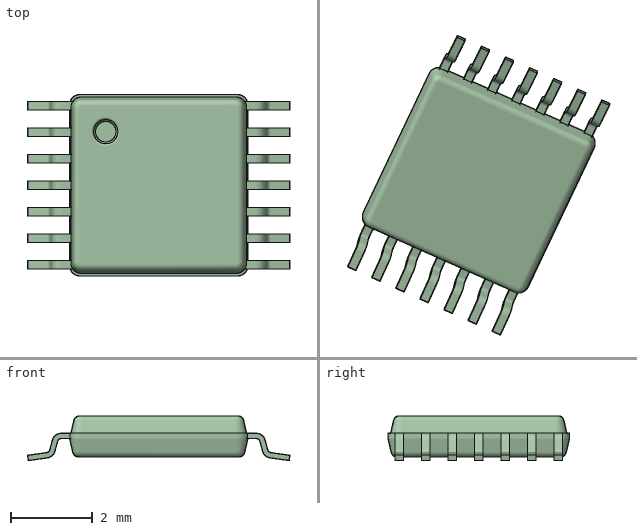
import cadquery as cq
import math

LEAD_COUNT = 7
LEAD_PITCH = 0.65
LEAD_WIDTH = 0.22
LEAD_THICKNESS = 0.135
LEAD_SPAN = 6.43
LEAD_TOP = 0.675
INNER_BEND = 0.095
OUTER_BEND = INNER_BEND + LEAD_THICKNESS
RISER_TILT = math.radians(15)
FOOT_TILT = math.radians(8)
FOOT_LENGTH = 0.47

BAND_X = 4.37
BAND_Y = 4.45
UPPER_X = 4.31
UPPER_Y = 4.32
BAND_TOP = LEAD_TOP
BAND_BOTTOM = LEAD_TOP - LEAD_THICKNESS
HOUSING_TOP = 1.1
HOUSING_BOTTOM = 0.09
CORNER_RADIUS = 0.26
DRAFT_ANGLE = 13.0
EDGE_FILLET = 0.15

DIMPLE_X = -1.3
DIMPLE_Y = 1.31
DIMPLE_FLOOR_RADIUS = 0.25
DIMPLE_WALL_RADIUS = 0.295
DIMPLE_RIM_RADIUS = 0.355
DIMPLE_DEPTH = 0.1


def rounded_block(size_x, size_y, base_z, height, taper=0.0):
    """Block with rounded corners; a negative height extrudes downward."""
    outline = cq.Sketch().rect(size_x, size_y).vertices().fillet(CORNER_RADIUS)
    return cq.Workplane("XY").workplane(offset=base_z).placeSketch(outline).extrude(height, taper=taper)


def drafted_halves():
    upper = rounded_block(UPPER_X, UPPER_Y, BAND_TOP, HOUSING_TOP - BAND_TOP, DRAFT_ANGLE)
    lower = rounded_block(BAND_X, BAND_Y, BAND_BOTTOM, HOUSING_BOTTOM - BAND_BOTTOM, DRAFT_ANGLE)
    return upper.faces(">Z").edges().fillet(EDGE_FILLET), lower.faces("<Z").edges().fillet(EDGE_FILLET)


def index_dimple():
    """Shallow cone with a rounded rim, cut into the top face."""
    rim_round = DIMPLE_RIM_RADIUS - DIMPLE_WALL_RADIUS
    diagonal = rim_round * math.sqrt(0.5)
    floor_z = HOUSING_TOP - DIMPLE_DEPTH
    return (
        cq.Workplane("XZ")
        .moveTo(0, floor_z)
        .lineTo(DIMPLE_FLOOR_RADIUS, floor_z)
        .lineTo(DIMPLE_WALL_RADIUS, HOUSING_TOP - rim_round)
        .threePointArc(
            (DIMPLE_RIM_RADIUS - diagonal, HOUSING_TOP - rim_round + diagonal),
            (DIMPLE_RIM_RADIUS, HOUSING_TOP),
        )
        .lineTo(0, HOUSING_TOP)
        .close()
        .revolve(360, (0, 0, 0), (0, 1, 0))
        .translate((DIMPLE_X, DIMPLE_Y, 0))
    )


def moved(point, angle, distance):
    """Point reached from `point` by going `distance` in the direction `angle` of the XZ plane."""
    return (point[0] + distance * math.cos(angle), point[1] + distance * math.sin(angle))


def lead_strip(y_position):
    straight_up = math.pi / 2
    riser_normal = RISER_TILT
    foot_normal = straight_up - FOOT_TILT
    foot_direction = -FOOT_TILT

    tip_top = (LEAD_SPAN / 2, LEAD_THICKNESS * math.cos(FOOT_TILT))
    tip_bottom = moved(tip_top, foot_normal, -LEAD_THICKNESS)
    foot_start = moved(tip_top, foot_direction, -FOOT_LENGTH)
    lower_center = moved(foot_start, foot_normal, INNER_BEND)

    shoulder_center_z = LEAD_TOP - OUTER_BEND
    riser_foot = moved(lower_center, riser_normal, -INNER_BEND)
    riser_drop = shoulder_center_z + OUTER_BEND * math.sin(RISER_TILT) - riser_foot[1]
    riser_top = (riser_foot[0] - riser_drop * math.tan(RISER_TILT), riser_foot[1] + riser_drop)
    upper_center = moved(riser_top, riser_normal, -OUTER_BEND)

    upper_middle = (straight_up + riser_normal) / 2
    lower_middle = (foot_normal + riser_normal) / 2
    half = (
        cq.Workplane("XZ")
        .moveTo(0, LEAD_TOP)
        .lineTo(*moved(upper_center, straight_up, OUTER_BEND))
        .threePointArc(moved(upper_center, upper_middle, OUTER_BEND), riser_top)
        .lineTo(*riser_foot)
        .threePointArc(moved(lower_center, lower_middle, -INNER_BEND), foot_start)
        .lineTo(*tip_top)
        .lineTo(*tip_bottom)
        .lineTo(*moved(lower_center, foot_normal, -OUTER_BEND))
        .threePointArc(
            moved(lower_center, lower_middle, -OUTER_BEND),
            moved(lower_center, riser_normal, -OUTER_BEND),
        )
        .lineTo(*moved(upper_center, riser_normal, INNER_BEND))
        .threePointArc(
            moved(upper_center, upper_middle, INNER_BEND),
            moved(upper_center, straight_up, INNER_BEND),
        )
        .lineTo(0, LEAD_TOP - LEAD_THICKNESS)
        .close()
        .extrude(LEAD_WIDTH / 2, both=True)
    )
    return half.union(half.mirror("YZ")).clean().translate((0, y_position, 0))


def housing_with_slots(strips):
    """Housing with a through slot in its band for every lead strip."""
    upper, lower = drafted_halves()
    band = rounded_block(BAND_X, BAND_Y, BAND_BOTTOM, BAND_TOP - BAND_BOTTOM)
    body = band.union(upper).union(lower).cut(index_dimple())
    for strip in strips:
        body = body.cut(strip)
    return body


lead_strips = [lead_strip((i - (LEAD_COUNT - 1) / 2) * LEAD_PITCH) for i in range(LEAD_COUNT)]
housing = housing_with_slots(lead_strips)

result = cq.Compound.makeCompound([housing.val(), *[strip.val() for strip in lead_strips]])